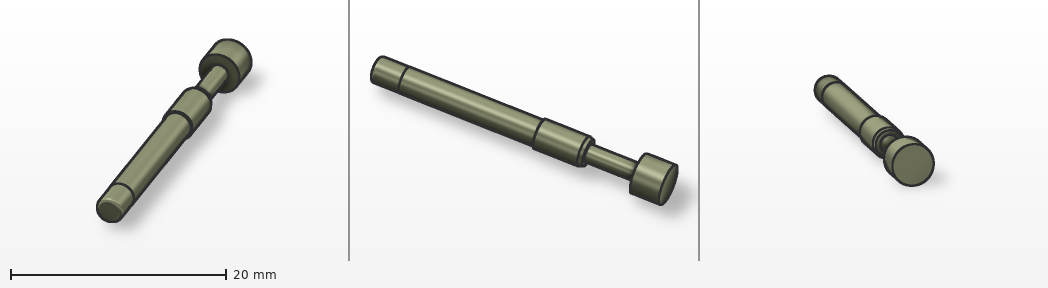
import cadquery as cq

total_length = 30.3

head_diameter = 4.0
head_length = 3.0

stem_diameter = 1.8
stem_length = 5.27

collar_diameter = 3.0
collar_length = 4.58
taper_length = 0.45

tube_diameter = 2.67
taper_end_diameter = tube_diameter

tip_diameter = 2.65
tip_length = 3.0
tip_round_radius = 0.42

head_end = total_length / 2
stem_end = head_end - head_length
taper_end = stem_end - stem_length
collar_end = taper_end - taper_length
tube_end = collar_end - collar_length
tip_start = -total_length / 2
tip_end = tip_start + tip_length


def round_section(diameter, y_start, y_end):
    """Solid cylinder along Y between two stations."""
    return (
        cq.Workplane("XZ", origin=(0, y_end, 0))
        .circle(diameter / 2)
        .extrude(y_end - y_start)
    )


def collar_taper():
    """Cone widening from the stem side to the full collar diameter."""
    return (
        cq.Workplane("XY")
        .moveTo(0, taper_end)
        .lineTo(taper_end_diameter / 2, taper_end)
        .lineTo(collar_diameter / 2, collar_end)
        .lineTo(0, collar_end)
        .close()
        .revolve(360, (0, 0, 0), (0, 1, 0))
    )


def rounded_tip():
    """Tip cylinder with a rounded outer end."""
    tip = round_section(tip_diameter, tip_start, tip_end)
    return tip.faces("<Y").edges().fillet(tip_round_radius)


head = round_section(head_diameter, stem_end, head_end)
stem = round_section(stem_diameter, taper_end, stem_end)
collar = round_section(collar_diameter, tube_end, collar_end)
tube = round_section(tube_diameter, tip_end, tube_end)

result = (
    head.union(stem)
    .union(collar_taper())
    .union(collar)
    .union(tube)
    .union(rounded_tip())
)